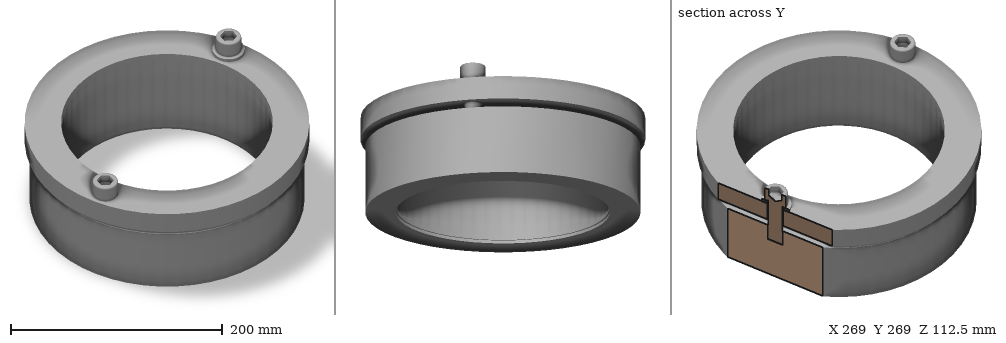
import cadquery as cq
import math

ring_diameter = 260.0
ring_height = 64.8
seat_top_diameter = 209.8
seat_bottom_diameter = 202.3

flange_diameter = 269.0
flange_thickness = 22.0
gap_height = 6.5
bore_diameter = 200.0
sleeve_bottom = 3.0
screw_clearance_diameter = 17.5

washer_diameter = 30.7
washer_bore_diameter = 17.0
washer_thickness = 3.2

shank_diameter = 16.0
shank_length = 50.0
head_diameter = 24.0
head_height = 16.0
head_fillet = 1.5
socket_width = 14.0
socket_depth = 8.0
socket_tip_depth = 4.0
screw_circle_radius = 119.0

flange_bottom = ring_height + gap_height
flange_top = flange_bottom + flange_thickness
socket_corner_diameter = socket_width / math.cos(math.pi / 6)

screw_seats = [
    (-screw_circle_radius, flange_top),
    (screw_circle_radius, flange_top + washer_thickness),
]


def cylinder(diameter, bottom, height, y=0.0):
    """Upright cylinder centred at X = 0 and the given Y."""
    return cq.Workplane("XY", origin=(0, y, bottom)).circle(diameter / 2).extrude(height)


def seat_cone():
    """Cone shared by the ring seat and the sleeve, narrowing from the flange down to Z = 0."""
    slope = (seat_top_diameter - seat_bottom_diameter) / ring_height
    flange_end_diameter = seat_bottom_diameter + slope * flange_bottom
    return cq.Workplane(
        cq.Solid.makeCone(seat_bottom_diameter / 2, flange_end_diameter / 2, flange_bottom)
    )


def make_ring():
    """Lower ring: tapered seat through its full height and two blind screw holes."""
    ring = cylinder(ring_diameter, 0, ring_height).cut(seat_cone())
    for y, seat in screw_seats:
        ring = ring.cut(cylinder(shank_diameter, seat - shank_length, shank_length, y))
    return ring


def make_flanged_sleeve():
    """Flange with a tapered sleeve below it, a through bore and two clearance holes."""
    sleeve = seat_cone().cut(cylinder(flange_diameter, 0, sleeve_bottom))
    body = cylinder(flange_diameter, flange_bottom, flange_thickness).union(sleeve)
    body = body.cut(cylinder(bore_diameter, 0, flange_top))
    for y, _ in screw_seats:
        body = body.cut(cylinder(screw_clearance_diameter, flange_bottom, flange_thickness, y))
    return body


def make_washer():
    """Flat washer under the head of the screw on the +Y side."""
    washer = cylinder(washer_diameter, flange_top, washer_thickness, screw_circle_radius)
    return washer.cut(
        cylinder(washer_bore_diameter, flange_top, washer_thickness, screw_circle_radius)
    )


def make_screw(y, seat):
    """Socket-head screw whose hexagon socket ends in a conical tip."""
    head_top = seat + head_height
    socket_floor = head_top - socket_depth
    head = cylinder(head_diameter, seat, head_height, y).faces(">Z").edges().fillet(head_fillet)
    screw = head.union(cylinder(shank_diameter, seat - shank_length, shank_length, y))
    hexagon = (
        cq.Workplane("XY", origin=(0, y, socket_floor))
        .transformed(rotate=(0, 0, 90))
        .polygon(6, socket_corner_diameter)
        .extrude(socket_depth)
    )
    tip = cq.Workplane(
        cq.Solid.makeCone(
            socket_width / 2, 0, socket_tip_depth, cq.Vector(0, y, socket_floor), cq.Vector(0, 0, -1)
        )
    )
    return screw.cut(hexagon).cut(tip)


ring = make_ring()
flanged_sleeve = make_flanged_sleeve()
washer = make_washer()
screws = [make_screw(y, seat) for y, seat in screw_seats]

result = cq.Compound.makeCompound(
    [ring.val(), flanged_sleeve.val(), washer.val()] + [screw.val() for screw in screws]
)